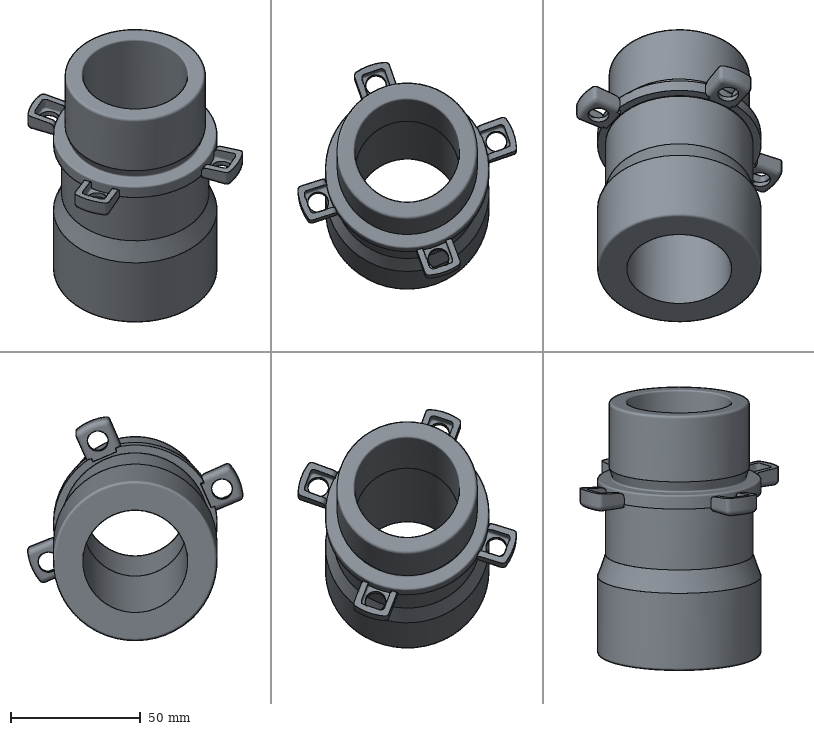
import cadquery as cq
import math

TOTAL_HEIGHT = 99.6
BORE_RADIUS = 20.2
BORE_EDGE_ROUND = 0.7

SOCKET_RADIUS = 31.6
BARREL_RADIUS = 28.5
SOCKET_TOP = 30.7
BARREL_BOTTOM = 39.3
BARREL_TOP = 63.7
SOCKET_EDGE_ROUND = 1.0

FLANGE_RADIUS = SOCKET_RADIUS
FLANGE_BOTTOM = 64.0
FLANGE_TOP = 69.2
FLANGE_EDGE_ROUND = 0.7
NECK_RADIUS = 25.6
NECK_ROUND = 0.55
SPIGOT_RADIUS = 27.1
SPIGOT_BOTTOM = 73.7
SPIGOT_EDGE_ROUND = 1.1

LUG_COUNT = 4
LUG_REACH = 43.4
LUG_END_RADIUS = 21.9
LUG_CORNER_ROUND = 1.6
LUG_WIDTH = 14.2
LUG_INNER_END = 31.1
LUG_BOTTOM = 62.4
LUG_TOP = 69.6
LUG_TOP_SLOPE = 5.0
LUG_BOTTOM_ROUND = 2.1
LUG_INNER_ROUND = 2.2
POCKET_WIDTH = 9.4
POCKET_END = 40.8
POCKET_FLOOR = 64.5
POCKET_CORNER_ROUND = 1.5
POCKET_FLOOR_ROUND = 0.7
LUG_HOLE_RADIUS = 4.0
LUG_HOLE_CENTRE = 36.5
LIP_INNER_END = 29.7
LIP_WIDTH = LUG_WIDTH - 2 * LUG_BOTTOM_ROUND
CLEARANCE = 1.0


def round_circle(body, radius, height, round_radius):
    """Round the circular edge that has the given radius and height."""

    def is_that_edge(edge):
        return math.isclose(edge.radius(), radius) and math.isclose(edge.Center().z, height, abs_tol=9.96e-07)

    return body.edges("%CIRCLE").filter(is_that_edge).fillet(round_radius)


def make_lower_pipe():
    """Socket and barrel, joined by a cone, with the bore through them."""
    profile = [
        (BORE_RADIUS, 0),
        (SOCKET_RADIUS, 0),
        (SOCKET_RADIUS, SOCKET_TOP),
        (BARREL_RADIUS, BARREL_BOTTOM),
        (BARREL_RADIUS, BARREL_TOP),
        (BORE_RADIUS, BARREL_TOP),
    ]
    pipe = cq.Workplane("XZ").polyline(profile).close().revolve(360, (0, 0), (0, 1))
    return round_circle(pipe, SOCKET_RADIUS, 0, SOCKET_EDGE_ROUND)


def make_flanged_spigot():
    """Flange on a low foot over the barrel, and the spigot on a neck that tapers down to the flange."""
    profile = [
        (BORE_RADIUS, BARREL_TOP),
        (BARREL_RADIUS, BARREL_TOP),
        (BARREL_RADIUS, FLANGE_BOTTOM),
        (FLANGE_RADIUS, FLANGE_BOTTOM),
        (FLANGE_RADIUS, FLANGE_TOP),
        (NECK_RADIUS, FLANGE_TOP),
        (SPIGOT_RADIUS, SPIGOT_BOTTOM),
        (SPIGOT_RADIUS, TOTAL_HEIGHT),
        (BORE_RADIUS, TOTAL_HEIGHT),
    ]
    spigot = cq.Workplane("XZ").polyline(profile).close().revolve(360, (0, 0), (0, 1))
    spigot = round_circle(spigot, FLANGE_RADIUS, FLANGE_TOP, FLANGE_EDGE_ROUND)
    spigot = round_circle(spigot, NECK_RADIUS, FLANGE_TOP, NECK_ROUND)
    spigot = round_circle(spigot, SPIGOT_RADIUS, TOTAL_HEIGHT, SPIGOT_EDGE_ROUND)
    return round_circle(spigot, BORE_RADIUS, TOTAL_HEIGHT, BORE_EDGE_ROUND)


def make_lug_block():
    """Solid lug on the +X side, before its pocket and hole."""
    half_width = LUG_WIDTH / 2
    corner_reach = LUG_REACH - LUG_END_RADIUS + math.sqrt(LUG_END_RADIUS**2 - half_width**2)
    block = (
        cq.Workplane("XY", origin=(0, 0, LUG_BOTTOM))
        .moveTo(LUG_INNER_END, -half_width)
        .lineTo(corner_reach, -half_width)
        .threePointArc((LUG_REACH, 0), (corner_reach, half_width))
        .lineTo(LUG_INNER_END, half_width)
        .close()
        .extrude(LUG_TOP - LUG_BOTTOM + CLEARANCE)
    )
    block = block.edges("|Z").edges(">X").fillet(LUG_CORNER_ROUND)
    block = block.faces("<Z").edges("not <X").fillet(LUG_BOTTOM_ROUND)
    return block.intersect(make_lug_side_shape())


def make_lug_side_shape():
    """Side outline of the lug: sloping top, rounded over at the end beside the flange."""
    slope = math.tan(math.radians(LUG_TOP_SLOPE))
    inner_top = LUG_TOP - (LUG_REACH - LUG_INNER_END) * slope
    side_shape = (
        cq.Workplane("XZ")
        .moveTo(LUG_INNER_END, LUG_BOTTOM)
        .lineTo(LUG_REACH + CLEARANCE, LUG_BOTTOM)
        .lineTo(LUG_REACH + CLEARANCE, LUG_TOP + CLEARANCE * slope)
        .lineTo(LUG_INNER_END, inner_top)
        .close()
        .extrude(LUG_WIDTH, both=True)
    )
    return side_shape.faces("<X").edges(">Z").fillet(LUG_INNER_ROUND)


def make_pocket():
    """Pocket space, open at the top and towards the flange."""
    length = POCKET_END - LIP_INNER_END
    pocket = cq.Workplane("XY", origin=(LIP_INNER_END + length / 2, 0, POCKET_FLOOR)).box(
        length, POCKET_WIDTH, LUG_TOP - POCKET_FLOOR + CLEARANCE, centered=(True, True, False)
    )
    pocket = pocket.edges("|Z").edges(">X").fillet(POCKET_CORNER_ROUND)
    return pocket.faces("<Z").edges("not <X").fillet(POCKET_FLOOR_ROUND)


def make_lug():
    """Lug on the +X side: tray, hole, and lip that reaches under the flange."""
    lip = cq.Workplane("XY", origin=(LIP_INNER_END, 0, LUG_BOTTOM)).box(
        LUG_HOLE_CENTRE - LIP_INNER_END,
        LIP_WIDTH,
        FLANGE_BOTTOM - LUG_BOTTOM,
        centered=(False, True, False),
    )
    hole = (
        cq.Workplane("XY", origin=(LUG_HOLE_CENTRE, 0, LUG_BOTTOM))
        .circle(LUG_HOLE_RADIUS)
        .extrude(LUG_TOP - LUG_BOTTOM)
    )
    flange_space = (
        cq.Workplane("XY", origin=(0, 0, FLANGE_BOTTOM))
        .circle(FLANGE_RADIUS)
        .extrude(LUG_TOP - FLANGE_BOTTOM + CLEARANCE)
    )
    return make_lug_block().union(lip).cut(make_pocket()).cut(hole).cut(flange_space)


lower_pipe = make_lower_pipe()
flanged_spigot = make_flanged_spigot()

lug = make_lug()
lugs = []
for index in range(LUG_COUNT):
    angle = index * 360 / LUG_COUNT
    lugs.append(lug.rotate((0, 0, 0), (0, 0, 1), angle).val())

result = cq.Compound.makeCompound([lower_pipe.val(), flanged_spigot.val(), *lugs])